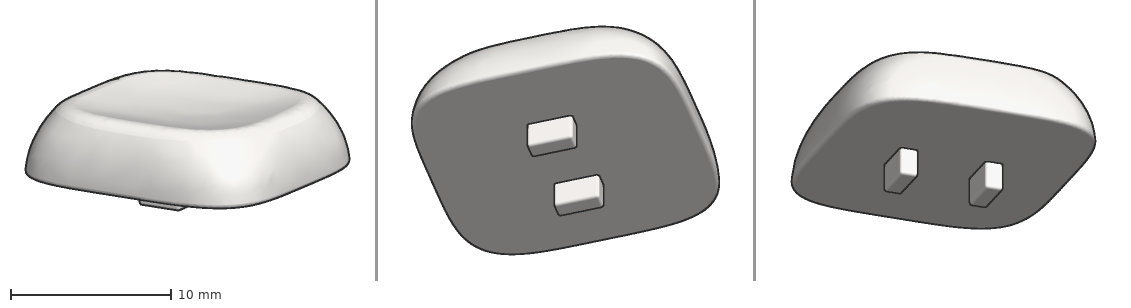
import cadquery as cq
import math

length = 17.47
width = 16.5
base_fillet = 0.26

wall_radius = 5.94
wall_top = 4.72
wall_sections = 7
outline_points = 48

base_squareness = 4.35
top_squareness = 3.2

dish_length = 13.98
dish_width = 12.67
dish_rim = 4.44
dish_depth = 0.85
dish_squareness = 3.2
dish_steps = 24
dish_face_half = 9.6
rim_fillet = 1.31

leg_length = 2.97
leg_width = 1.19
leg_drop = 1.8
leg_spacing = 5.7
leg_fillet = 0.2
leg_overlap = 0.35


def superellipse_point(half_x, half_y, squareness, angle):
    """Point of a rounded-square outline in the direction of the given angle."""
    cos_a = math.cos(angle)
    sin_a = math.sin(angle)
    reach = (abs(cos_a) ** squareness + abs(sin_a) ** squareness) ** (-1 / squareness)
    return half_x * reach * cos_a, half_y * reach * sin_a


def wall_outline(z):
    """Closed outline of the side wall at height z."""
    rise = max(z - base_fillet, 0)
    inset = wall_radius - math.sqrt(wall_radius**2 - rise**2)
    squareness = base_squareness + (top_squareness - base_squareness) * z / wall_top
    points = []
    for i in range(outline_points):
        angle = 2 * math.pi * i / outline_points
        x, y = superellipse_point(length / 2 - inset, width / 2 - inset, squareness, angle)
        points.append(cq.Vector(x, y, z))
    return cq.Wire.assembleEdges([cq.Edge.makeSpline(points, periodic=True)])


def make_block():
    """Body before the dish is cut, lofted through outlines of the side wall."""
    heights = [0.0]
    for i in range(wall_sections):
        heights.append(base_fillet + (wall_top - base_fillet) * i / (wall_sections - 1))
    return cq.Workplane(cq.Solid.makeLoft([wall_outline(z) for z in heights]))


def dish_height(x, y):
    """Height of the dish: a parabolic bowl whose level lines are rounded squares."""
    u = abs(2 * x / dish_length) ** dish_squareness
    v = abs(2 * y / dish_width) ** dish_squareness
    return dish_rim - dish_depth + dish_depth * (u + v) ** (2 / dish_squareness)


def make_dish_face():
    """Spline face through a square grid of dish heights."""
    stations = [dish_face_half * (2 * i / dish_steps - 1) for i in range(dish_steps + 1)]
    grid = [[cq.Vector(x, y, dish_height(x, y)) for y in stations] for x in stations]
    return cq.Face.makeSplineApprox(grid, tol=0.02, minDeg=3, maxDeg=5)


def make_body():
    """Block below the dish, with its base edge and its rim rounded."""
    below_dish = make_block().split(make_dish_face()).solids("<Z").val()
    body = cq.Workplane(below_dish).faces("<Z").edges().fillet(base_fillet)
    rim_zone = cq.selectors.BoxSelector(
        (-length, -width, wall_top / 2), (length, width, 2 * wall_top), boundingbox=True
    )
    return body.edges(rim_zone).fillet(rim_fillet)


def make_leg(y):
    """Rounded leg centred at the given y."""
    return (
        cq.Workplane("XY", origin=(0, y, -leg_drop))
        .box(leg_length, leg_width, leg_drop + leg_overlap, centered=(True, True, False))
        .edges("|Z or <Z")
        .fillet(leg_fillet)
    )


result = make_body()
for side in (-1, 1):
    result = result.union(make_leg(side * leg_spacing / 2))